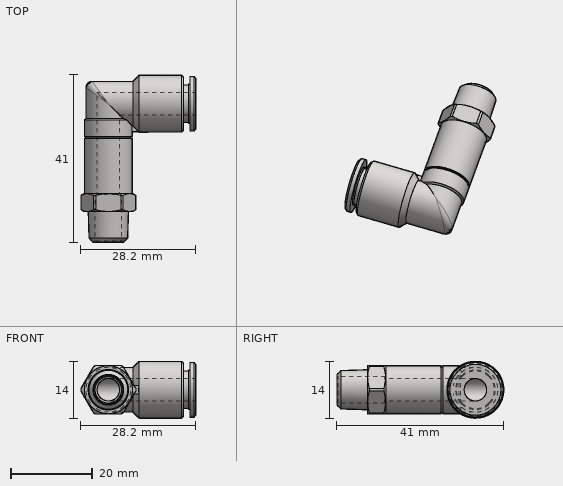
import cadquery as cq
import math


ELBOW_RADIUS = 5.5
ELBOW_CORNER_FILLET = 1.5

RING_START = 3.6
RING_END = 8.4
RING_RADIUS = 5.9
RING_CHAMFER = 0.4
BODY_START = 8.5
HEX_START = 22.0
HEX_END = 26.5
LEG_END = 34.0

HEX_SIDES = 6
HEX_ACROSS_FLATS = 12.0
HEX_CORNER_RADIUS = 6.75
HEX_FACE_RADIUS = 5.9
HEX_CHAMFER_ANGLE = 30.0

THREAD_BASE_RADIUS = 4.97
THREAD_TAPER = 1 / 16
THREAD_CHAMFER = 1.0

BORE_RADIUS = 2.75
MOUTH_RADIUS = 3.25
MOUTH_CHAMFER = 0.3
DRILL_POINT_ANGLE = 118.0

SOCKET_START = 6.0
SOCKET_RADIUS = 7.0
SOCKET_CONE_END = SOCKET_START + SOCKET_RADIUS - ELBOW_RADIUS
SOCKET_END = 18.5
COLLAR_START = 20.0
COLLAR_END = 21.5
COLLAR_RADIUS = 6.75
RIM_CHAMFER = 0.5
NECK_RADIUS = 4.65
NECK_STEP_START = 19.65
NECK_STEP_RADIUS = 4.85

RIB_WIDTH = 2.0


def turn_about_y(profile):
    """Solid of revolution about Y from (distance towards -Y, radius) points."""
    points = [(radius, -distance) for distance, radius in profile]
    return cq.Workplane("XY").polyline(points).close().revolve(360, (0, 0), (0, 1))


def turn_about_x(profile):
    """Solid of revolution about X from (distance towards +X, radius) points."""
    return cq.Workplane("XY").polyline(profile).close().revolve(360, (0, 0), (1, 0))


def mitred_bend(radius, leg_length, arm_length, corner_fillet=0):
    """Round bar along -Y and +X, mitred at the origin, with its outer mitre edge optionally rounded."""
    leg = cq.Workplane("XZ").circle(radius).extrude(leg_length)
    arm = cq.Workplane("YZ").circle(radius).extrude(arm_length)
    leg_overrun = cq.Workplane("XZ").circle(radius).extrude(-radius)
    arm_overrun = cq.Workplane("YZ").circle(radius).extrude(-radius)
    corner = leg_overrun.intersect(arm_overrun)
    if corner_fillet:
        corner = corner.edges(">(-1, 1, 0)").fillet(corner_fillet)
    return leg.union(arm).union(corner)


def sleeve():
    """Chamfered swivel ring and plain body, parted by a narrow groove."""
    return turn_about_y(
        [
            (RING_START, 0),
            (RING_START, RING_RADIUS - RING_CHAMFER),
            (RING_START + RING_CHAMFER, RING_RADIUS),
            (RING_END - RING_CHAMFER, RING_RADIUS),
            (RING_END, RING_RADIUS - RING_CHAMFER),
            (BODY_START, RING_RADIUS - RING_CHAMFER),
            (BODY_START, RING_RADIUS),
            (HEX_START, RING_RADIUS),
            (HEX_START, 0),
        ]
    )


def hexagon():
    """Hexagon with turned corners and both ends chamfered."""
    corner_diameter = HEX_ACROSS_FLATS / math.cos(math.pi / HEX_SIDES)
    prism = (
        cq.Workplane("XZ")
        .workplane(offset=HEX_START)
        .polygon(HEX_SIDES, corner_diameter)
        .extrude(HEX_END - HEX_START)
    )
    chamfer = (HEX_CORNER_RADIUS - HEX_FACE_RADIUS) * math.tan(math.radians(HEX_CHAMFER_ANGLE))
    envelope = turn_about_y(
        [
            (HEX_START, 0),
            (HEX_START, HEX_FACE_RADIUS),
            (HEX_START + chamfer, HEX_CORNER_RADIUS),
            (HEX_END - chamfer, HEX_CORNER_RADIUS),
            (HEX_END, HEX_FACE_RADIUS),
            (HEX_END, 0),
        ]
    )
    return prism.intersect(envelope)


def thread():
    """Tapered thread envelope with a chamfered tip."""
    chamfer_start = LEG_END - THREAD_CHAMFER
    tip_radius = THREAD_BASE_RADIUS - (chamfer_start - HEX_END) * THREAD_TAPER / 2
    return turn_about_y(
        [
            (HEX_END, 0),
            (HEX_END, THREAD_BASE_RADIUS),
            (chamfer_start, tip_radius),
            (LEG_END, tip_radius - THREAD_CHAMFER),
            (LEG_END, 0),
        ]
    )


def socket():
    """Coned tube socket with a necked release collar."""
    return turn_about_x(
        [
            (SOCKET_START, 0),
            (SOCKET_START, ELBOW_RADIUS),
            (SOCKET_CONE_END, SOCKET_RADIUS),
            (SOCKET_END - RIM_CHAMFER, SOCKET_RADIUS),
            (SOCKET_END, SOCKET_RADIUS - RIM_CHAMFER),
            (SOCKET_END, NECK_RADIUS),
            (NECK_STEP_START, NECK_RADIUS),
            (NECK_STEP_START, NECK_STEP_RADIUS),
            (COLLAR_START, NECK_STEP_RADIUS),
            (COLLAR_START, COLLAR_RADIUS),
            (COLLAR_END - RIM_CHAMFER, COLLAR_RADIUS),
            (COLLAR_END, COLLAR_RADIUS - RIM_CHAMFER),
            (COLLAR_END, 0),
        ]
    )


def rib():
    """Web whose lower edges meet the socket wall."""
    depth = math.sqrt(SOCKET_RADIUS**2 - (RIB_WIDTH / 2) ** 2)
    outline = cq.Workplane("XY").rect(SOCKET_CONE_END, -depth, centered=False)
    return outline.extrude(RIB_WIDTH / 2, both=True)


def bore():
    """Equal-radius passage round the bend, widened by a coned counterbore at the leg mouth."""
    cone_length = (MOUTH_RADIUS - BORE_RADIUS) / math.tan(math.radians(DRILL_POINT_ANGLE / 2))
    counterbore = turn_about_y(
        [
            (HEX_START, 0),
            (HEX_START, BORE_RADIUS),
            (HEX_START + cone_length, MOUTH_RADIUS),
            (LEG_END - MOUTH_CHAMFER, MOUTH_RADIUS),
            (LEG_END, MOUTH_RADIUS + MOUTH_CHAMFER),
            (LEG_END, 0),
        ]
    )
    return mitred_bend(BORE_RADIUS, LEG_END, COLLAR_END).union(counterbore)


elbow = mitred_bend(ELBOW_RADIUS, RING_START, SOCKET_START, ELBOW_CORNER_FILLET)
leg = sleeve().union(hexagon()).union(thread())
result = elbow.union(leg).union(socket()).union(rib()).cut(bore())